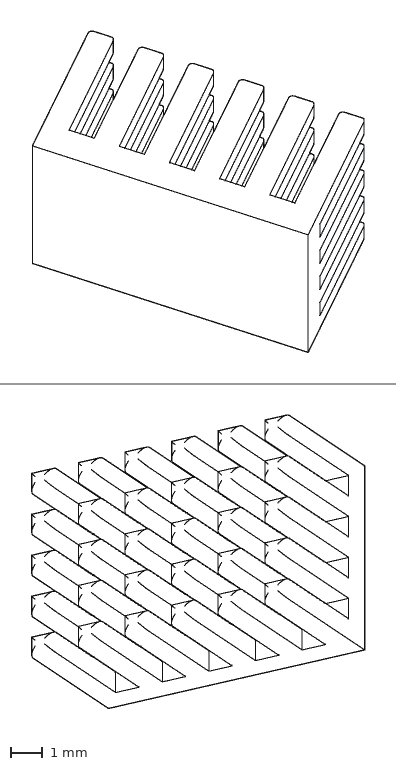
import cadquery as cq


length = 9.35
depth = 5.0
height = 6.3

base_thickness = 1.0
pin_columns = 6
pin_rows = 5
tip_radius = 0.3

pin_width = length / (2 * pin_columns - 1)
pin_height = height / (2 * pin_rows - 1)
pin_length = depth - base_thickness


def make_base():
    """Base plate with its plain face on Y = 0 and one corner at the origin."""
    return cq.Workplane("XY").box(length, base_thickness, height, centered=False)


def make_pin():
    """Corner pin standing on the base, with all four edges of its tip rounded."""
    pin = cq.Workplane("XY").box(pin_width, pin_length, pin_height, centered=False)
    pin = pin.faces(">Y").edges().fillet(tip_radius)
    return pin.translate((0, base_thickness, 0))


result = make_base()
pin = make_pin()
for column in range(pin_columns):
    for row in range(pin_rows):
        offset = (column * 2 * pin_width, 0, row * 2 * pin_height)
        result = result.union(pin.translate(offset))

result = result.clean()